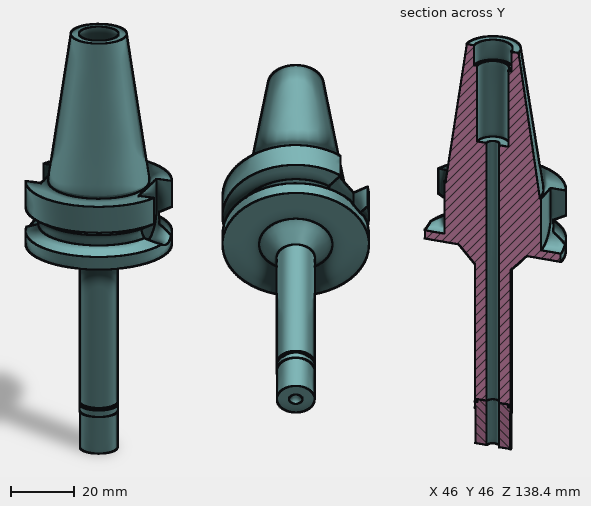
import cadquery as cq
import math

total_length = 138.4
gauge_z = 90.0
flange_top_z = 89.1
flange_bottom_z = 68.1
stem_top_z = 62.1

taper_small_radius = 17.6 / 2
taper_large_radius = 31.7 / 2
flange_radius = 46.0 / 2
under_cone_radius = 11.5

groove_center_z = 76.4
groove_floor_width = 3.5
groove_floor_radius = 37.9 / 2
groove_wall_angle = 30.0

slot_width = 16.0
slot_floor_x = 16.3
slot_bottom_z = 71.1

stem_radius = 12.0 / 2
nut_radius = 11.9 / 2
nut_height = 14.5
nut_gap = 0.8
neck_radius = 10.5 / 2
collar_height = 2.2
collar_radius = 12.2 / 2

entry_bore_radius = 12.5 / 2
entry_bore_depth = 6.9
thread_bore_radius = 10.4 / 2
thread_bore_depth = 33.2
through_hole_radius = 4.2 / 2


def cylinder(radius, bottom_z, top_z):
    """Round bar on the tool axis between two levels."""
    return cq.Workplane("XY").workplane(offset=bottom_z).circle(radius).extrude(top_z - bottom_z)


def turn(outline):
    """Solid of revolution about the tool axis from a half outline."""
    return cq.Workplane("XZ").polyline(outline).close().revolve(360, (0, 0), (0, 1))


def holder_outline():
    """Turned half outline of the holder, radius against height."""
    floor_half = groove_floor_width / 2
    wall_height = (flange_radius - groove_floor_radius) * math.tan(math.radians(groove_wall_angle))
    mouth_half = floor_half + wall_height
    stem_bottom_z = nut_height + nut_gap
    return [
        (0, stem_bottom_z),
        (stem_radius, stem_bottom_z),
        (stem_radius, stem_top_z),
        (under_cone_radius, flange_bottom_z),
        (flange_radius, flange_bottom_z),
        (flange_radius, groove_center_z - mouth_half),
        (groove_floor_radius, groove_center_z - floor_half),
        (groove_floor_radius, groove_center_z + floor_half),
        (flange_radius, groove_center_z + mouth_half),
        (flange_radius, flange_top_z),
        (taper_large_radius, flange_top_z),
        (taper_large_radius, gauge_z),
        (taper_small_radius, total_length),
        (0, total_length),
    ]


def drive_slot(side):
    """Cutter for one drive slot, open at the top and rounded below; side is -1 or +1 along X."""
    half_width = slot_width / 2
    round_center_z = slot_bottom_z + half_width
    profile = (
        cq.Workplane("YZ", origin=(side * slot_floor_x, 0, 0))
        .moveTo(-half_width, gauge_z)
        .lineTo(-half_width, round_center_z)
        .threePointArc((0, slot_bottom_z), (half_width, round_center_z))
        .lineTo(half_width, gauge_z)
        .close()
    )
    return profile.extrude(side * flange_radius)


def make_holder():
    """Taper, flange and stem in one piece, bored from the taper end."""
    holder = turn(holder_outline())
    for side in (-1, 1):
        holder = holder.cut(drive_slot(side))
    holder = holder.cut(cylinder(entry_bore_radius, total_length - entry_bore_depth, total_length))
    holder = holder.cut(cylinder(thread_bore_radius, total_length - thread_bore_depth, total_length))
    return holder.cut(cylinder(through_hole_radius, 0, total_length))


def nut_outline():
    """Turned half outline of the nut, radius against height."""
    collar_bottom_z = nut_height - collar_height
    neck_top_z = nut_height + nut_gap
    return [
        (through_hole_radius, 0),
        (nut_radius, 0),
        (nut_radius, collar_bottom_z),
        (collar_radius, collar_bottom_z),
        (collar_radius, nut_height),
        (neck_radius, nut_height),
        (neck_radius, neck_top_z),
        (through_hole_radius, neck_top_z),
    ]


def make_nut():
    """Clamping nut with a slightly raised collar and a short neck that meets the end of the stem."""
    return turn(nut_outline())


holder = make_holder()
nut = make_nut()

result = cq.Compound.makeCompound([holder.val(), nut.val()])